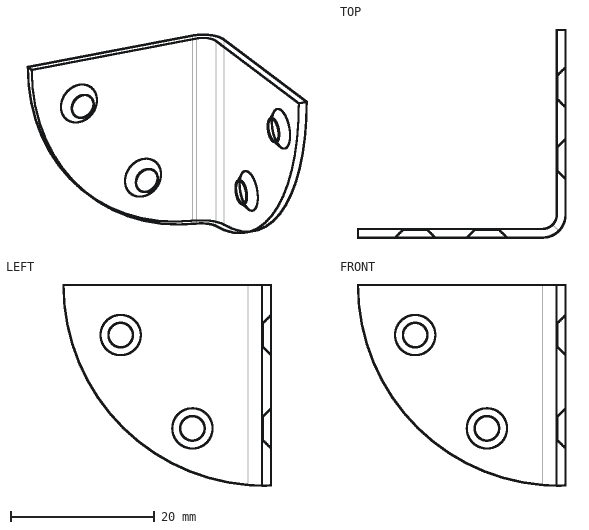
import cadquery as cq
import math

side = 29.0
height = 28.0
thickness = 1.25

inner_bend_radius = 2.0
outer_bend_radius = inner_bend_radius + thickness
flat_length = side - outer_bend_radius

hole_positions = [(8.0, 7.0), (18.0, 20.0)]
hole_diameter = 3.4
countersink_diameter = 5.63
countersink_angle = 90.0


blank_bottom = -thickness
blank_height = height - blank_bottom


def make_plate_blank():
    """Square-cornered flange along X with its outer face on Y = 0."""
    return (
        cq.Workplane("XY", origin=(0, 0, blank_bottom))
        .box(flat_length, thickness, blank_height, centered=False)
    )


def make_half_bend_blank():
    """Eighth of a tube, from the flange end to the bracket's mirror plane."""
    half_cos = math.cos(math.radians(45))
    quarter_cos = math.cos(math.radians(22.5))
    quarter_sin = math.sin(math.radians(22.5))

    def bend_point(radius, across, down):
        return (flat_length + radius * across, outer_bend_radius - radius * down)

    return (
        cq.Workplane("XY", origin=(0, 0, blank_bottom))
        .moveTo(*bend_point(outer_bend_radius, 0, 1))
        .threePointArc(
            bend_point(outer_bend_radius, quarter_sin, quarter_cos),
            bend_point(outer_bend_radius, half_cos, half_cos),
        )
        .lineTo(*bend_point(inner_bend_radius, half_cos, half_cos))
        .threePointArc(
            bend_point(inner_bend_radius, quarter_sin, quarter_cos),
            bend_point(inner_bend_radius, 0, 1),
        )
        .close()
        .extrude(blank_height)
    )


def make_round_outline():
    """Half disc extruded along Y, its straight side level with the top edge."""
    return (
        cq.Workplane("XZ")
        .moveTo(0, height)
        .threePointArc((height, 0), (2 * height, height))
        .close()
        .extrude(-outer_bend_radius)
    )


def drill_screw_holes(flange):
    """Holes countersunk from the outer face."""
    return (
        flange.faces("<Y")
        .workplane(origin=(0, 0, height))
        .pushPoints([(along, -below) for along, below in hole_positions])
        .cskHole(hole_diameter, countersink_diameter, countersink_angle)
    )


half_blank = make_plate_blank().union(make_half_bend_blank())
front_half = drill_screw_holes(half_blank.intersect(make_round_outline()))

mirror_plane_normal = cq.Vector(1, 1, 0)
side_half = front_half.mirror(mirror_plane_normal, basePointVector=(side, 0, 0))

result = front_half.union(side_half)